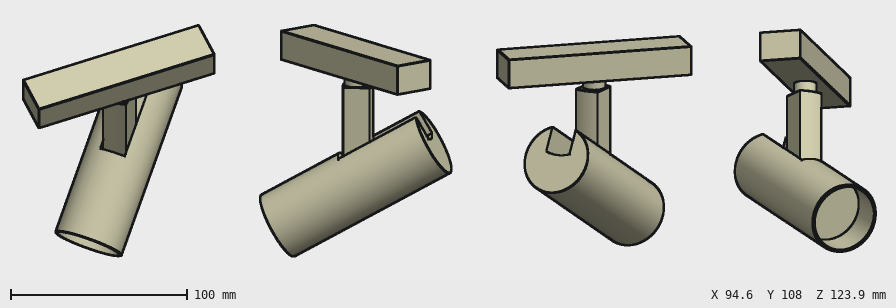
import cadquery as cq
import math


LAMP_RADIUS = 20.0
LAMP_LENGTH = 103.2
LAMP_TILT = 30.0
LAMP_YAW = -45.0
LAMP_CHAMFER = 0.2
BORE_WALL = 1.4
BORE_DEPTH = 20.0

SLOT_WIDTH = 15.0
SLOT_EDGE_HEIGHT = 3.8
SLOT_FLOOR_SAG = 1.4
SLOT_END = 0.0

STEM_THICKNESS = 14.0
STEM_BACK = -8.8
STEM_FRONT = 6.2
STEM_END_BULGE = 1.1
STEM_BOTTOM = -2.5
STEM_CHAMFER = 0.4

TOTAL_HEIGHT = 124.0
BAR_WIDTH = 23.9
BAR_LENGTH = 108.0
BAR_HEIGHT = 17.0
BAR_CHAMFER = 0.4
NECK_DIAMETER = 13.0
NECK_HEIGHT = 6.0

tilt = math.radians(LAMP_TILT)
lamp_bottom = -(LAMP_LENGTH / 2 * math.sin(tilt) + LAMP_RADIUS * math.cos(tilt))
bar_top = lamp_bottom + TOTAL_HEIGHT
bar_bottom = bar_top - BAR_HEIGHT
stem_top = bar_bottom - NECK_HEIGHT


def make_lamp():
    """Lamp with its axis along X, mouth at +X and slot opening toward +Z."""
    back = -LAMP_LENGTH / 2
    body = (
        cq.Workplane("YZ", origin=(back, 0, 0))
        .circle(LAMP_RADIUS)
        .extrude(LAMP_LENGTH)
        .faces("<X or >X")
        .chamfer(LAMP_CHAMFER)
    )
    bore = (
        cq.Workplane("YZ", origin=(LAMP_LENGTH / 2 - BORE_DEPTH, 0, 0))
        .circle(LAMP_RADIUS - BORE_WALL)
        .extrude(BORE_DEPTH)
    )
    half_slot = SLOT_WIDTH / 2
    slot = (
        cq.Workplane("YZ", origin=(back, 0, 0))
        .moveTo(-half_slot, LAMP_RADIUS)
        .lineTo(-half_slot, SLOT_EDGE_HEIGHT)
        .threePointArc((0, SLOT_EDGE_HEIGHT - SLOT_FLOOR_SAG), (half_slot, SLOT_EDGE_HEIGHT))
        .lineTo(half_slot, LAMP_RADIUS)
        .close()
        .extrude(SLOT_END - back)
    )
    return body.cut(bore).cut(slot).rotate((0, 0, 0), (0, 1, 0), LAMP_TILT)


def make_stem():
    """Upright flat stem with bowed front and back ends, standing in the lamp slot."""
    half = STEM_THICKNESS / 2
    return (
        cq.Workplane("XY", origin=(0, 0, STEM_BOTTOM))
        .moveTo(STEM_BACK, -half)
        .lineTo(STEM_FRONT, -half)
        .threePointArc((STEM_FRONT + STEM_END_BULGE, 0), (STEM_FRONT, half))
        .lineTo(STEM_BACK, half)
        .threePointArc((STEM_BACK - STEM_END_BULGE, 0), (STEM_BACK, -half))
        .close()
        .extrude(stem_top - STEM_BOTTOM)
        .faces(">Z")
        .chamfer(STEM_CHAMFER)
    )


def make_mount():
    """Mounting bar along Y with the round neck beneath it."""
    bar = (
        cq.Workplane("XY", origin=(0, 0, bar_bottom))
        .rect(BAR_WIDTH, BAR_LENGTH)
        .extrude(BAR_HEIGHT)
        .edges()
        .chamfer(BAR_CHAMFER)
    )
    neck = (
        cq.Workplane("XY", origin=(0, 0, stem_top))
        .circle(NECK_DIAMETER / 2)
        .extrude(NECK_HEIGHT)
    )
    return bar.union(neck)


swivel = make_lamp().union(make_stem()).rotate((0, 0, 0), (0, 0, 1), LAMP_YAW)
result = make_mount().union(swivel)